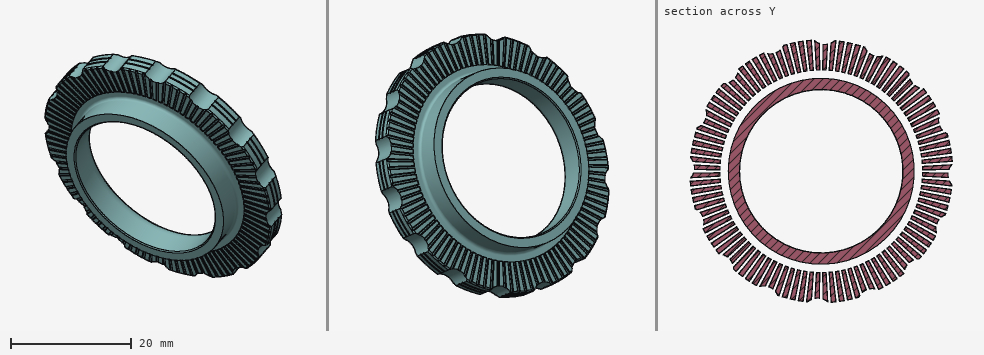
import cadquery as cq
import math


TOTAL_LENGTH = 8.0
RIM_RADIUS = 22.0
RIM_THICKNESS = 4.0
BACK_CHAMFER = 0.5

HUB_RADIUS = 15.25
HUB_FILLET = 0.5
BORE_RADIUS = 13.5
BORE_CHAMFER = 0.2
BORE_FLARE = 2.0
RECESS_RADIUS = 17.5
RECESS_DEPTH = 2.0

TOOTH_COUNT = 100
SECTOR_COUNT = 4
TOOTH_HEIGHT = 0.12
TOOTH_INNER_RADIUS = 16.75
TOOTH_CHAMFER = 0.25
GAP_FLOOR_ANGLE = 0.8

SCALLOP_COUNT = 16
SCALLOP_RADIUS = 2.5
SCALLOP_DEPTH = 1.0
SCALLOP_ADVANCE = 1.4

GROOVE_WIDTH = 0.12
GROOVE_DEPTH = 0.1
GROOVE_SETBACKS = (1.5, 2.5)

CUT_MARGIN = 1.0
GAP_MARGIN = 0.1

CREST_Y = TOTAL_LENGTH - RIM_THICKNESS
FLOOR_Y = CREST_Y + TOOTH_HEIGHT
RECESS_Y = TOTAL_LENGTH - RECESS_DEPTH
TOOTH_PITCH = 360 / TOOTH_COUNT
SECTOR_ANGLE = 360 / SECTOR_COUNT


def ring(inner_radius, outer_radius, y_start, y_end):
    """Plain ring about the Y axis."""
    return (
        cq.Workplane("XZ", origin=(0, y_start, 0))
        .circle(outer_radius)
        .circle(inner_radius)
        .extrude(y_start - y_end)
    )


def make_blank_sector():
    """Sector of the turned body (rim with raised tooth band, hub and bore), from +X towards -Z."""
    profile = (
        cq.Workplane("XY")
        .moveTo(BORE_RADIUS + BORE_CHAMFER, 0)
        .lineTo(HUB_RADIUS, 0)
        .lineTo(HUB_RADIUS, FLOOR_Y - HUB_FILLET)
        .radiusArc((HUB_RADIUS + HUB_FILLET, FLOOR_Y), HUB_FILLET)
        .lineTo(TOOTH_INNER_RADIUS, FLOOR_Y)
        .lineTo(TOOTH_INNER_RADIUS, CREST_Y)
        .lineTo(RIM_RADIUS - TOOTH_CHAMFER, CREST_Y)
        .lineTo(RIM_RADIUS, CREST_Y + TOOTH_CHAMFER)
        .lineTo(RIM_RADIUS, TOTAL_LENGTH - BACK_CHAMFER)
        .lineTo(RIM_RADIUS - BACK_CHAMFER, TOTAL_LENGTH)
        .lineTo(RECESS_RADIUS, TOTAL_LENGTH)
        .lineTo(RECESS_RADIUS, RECESS_Y)
        .lineTo(BORE_RADIUS + BORE_FLARE, RECESS_Y)
        .radiusArc((BORE_RADIUS, RECESS_Y - BORE_FLARE), -BORE_FLARE)
        .lineTo(BORE_RADIUS, BORE_CHAMFER)
        .close()
    )
    return profile.revolve(SECTOR_ANGLE, (0, 0, 0), (0, 1, 0))


def gap_section(radius):
    """Trapezoid across one tooth gap at the given radius, reaching past the tooth crests."""
    height = TOOTH_HEIGHT + GAP_MARGIN
    half_floor = radius * math.radians(GAP_FLOOR_ANGLE / 2)
    half_top = half_floor + height
    corners = [
        (-half_top, FLOOR_Y - height),
        (-half_floor, FLOOR_Y),
        (half_floor, FLOOR_Y),
        (half_top, FLOOR_Y - height),
    ]
    return cq.Wire.makePolygon([cq.Vector(x, y, radius) for x, y in corners], close=True)


def make_tooth_gaps():
    """Tooth gaps of one sector, the first lying half a pitch from the sector's +X side."""
    inner = gap_section(TOOTH_INNER_RADIUS - GAP_MARGIN)
    outer = gap_section(RIM_RADIUS + CUT_MARGIN)
    gap = cq.Solid.makeLoft([inner, outer], True)
    first_angle = 90 + TOOTH_PITCH / 2
    return [
        gap.rotate((0, 0, 0), (0, 1, 0), first_angle + i * TOOTH_PITCH)
        for i in range(TOOTH_COUNT // SECTOR_COUNT)
    ]


def make_toothed_body():
    """Full turned body, joined from toothed sectors that meet at the middle of a tooth."""
    sector = make_blank_sector().val().cut(*make_tooth_gaps())
    sectors = [
        sector.rotate((0, 0, 0), (0, 1, 0), i * SECTOR_ANGLE - TOOTH_PITCH / 2)
        for i in range(SECTOR_COUNT)
    ]
    return cq.Workplane(sectors[0].fuse(*sectors[1:])).clean()


def make_scallops():
    """Round finger notches spaced evenly around the rim."""
    centre_radius = RIM_RADIUS - SCALLOP_DEPTH + SCALLOP_RADIUS
    length = TOTAL_LENGTH - CREST_Y + 2 * CUT_MARGIN
    return (
        cq.Workplane("XZ", origin=(0, TOTAL_LENGTH + CUT_MARGIN, 0))
        .polarArray(centre_radius, SCALLOP_ADVANCE, 360, SCALLOP_COUNT)
        .circle(SCALLOP_RADIUS)
        .extrude(length)
    )


def make_rim_groove(setback):
    """Narrow groove around the outside of the rim."""
    centre_y = TOTAL_LENGTH - setback
    return ring(
        RIM_RADIUS - GROOVE_DEPTH,
        RIM_RADIUS + CUT_MARGIN,
        centre_y - GROOVE_WIDTH / 2,
        centre_y + GROOVE_WIDTH / 2,
    )


body = make_toothed_body()
for groove_setback in GROOVE_SETBACKS:
    body = body.cut(make_rim_groove(groove_setback))
result = body.cut(make_scallops())